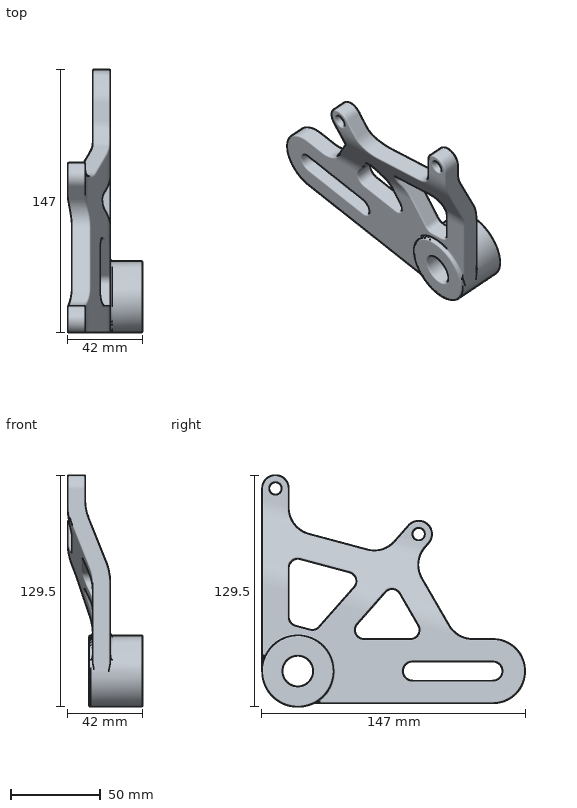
import cadquery as cq
import math


plate_thickness = 10.0
joggle_offset = 14.0
joggle_tilt = 15.0
lean_angle = 22.5
lower_bend_height = 46.4
upper_bend_radius = 25.0
lower_bend_radius = 20.0
edge_radius = 1.0

bushing_radius = 20.0
bushing_start = 12.0
bushing_length = 30.0
bushing_bore = 17.0
bushing_root_fillet = 1.0

arm_radius = 18.0
slot_far_y = 109.0
slot_travel = 45.0
slot_width = 10.5
bend_end_y = 93.0

lug_radius = 7.5
lug_hole = 6.8
upper_lug = (lug_radius - bushing_radius, 102.0)
side_lug = (67.5, 76.5)
web_width = 2 * lug_radius
top_rail_height = 75.7
rear_web_angle = 60.0
rear_web_foot_y = 88.9
bushing_window_gap = 24.2
outer_corner_radius = 15.0
window_corner_radius = 5.0

BROAD_SIDE_NORMAL = 0.5
TOLERANCE = 1e-6
plate_span = 400.0

tilt = math.radians(joggle_tilt)
rail_direction = (-math.cos(tilt), math.sin(tilt))
rail_normal = (math.sin(tilt), math.cos(tilt))
lug_distance = math.hypot(*side_lug)
strut_direction = (side_lug[0] / lug_distance, side_lug[1] / lug_distance)
strut_normal = (-strut_direction[1], strut_direction[0])
rear_angle = math.radians(rear_web_angle)
rear_direction = (-math.cos(rear_angle), math.sin(rear_angle))
rear_inward = (-math.sin(rear_angle), -math.cos(rear_angle))


def shift(point, direction, distance):
    """Move a (y, z) point along a direction."""
    return (point[0] + direction[0] * distance, point[1] + direction[1] * distance)


def crossing(line_a, line_b):
    """Intersection of two lines, each given as (point, direction)."""
    (ay, az), (aj, ak) = line_a
    (by, bz), (bj, bk) = line_b
    along = ((by - ay) * bk - (bz - az) * bj) / (aj * bk - ak * bj)
    return shift((ay, az), (aj, ak), along)


def unit(start, end):
    """Unit vector from one point to another."""
    length = math.dist(start, end)
    return ((end[0] - start[0]) / length, (end[1] - start[1]) / length)


def rounded_outline(plane, corners):
    """Closed wire through (point, radius) corners, each rounded by its own radius."""
    arcs = []
    for index, (corner, radius) in enumerate(corners):
        back = unit(corner, corners[index - 1][0])
        ahead = unit(corner, corners[(index + 1) % len(corners)][0])
        half_angle = math.acos(back[0] * ahead[0] + back[1] * ahead[1]) / 2
        setback = radius / math.tan(half_angle)
        bisector = unit((0, 0), shift(back, ahead, 1))
        middle = shift(corner, bisector, radius / math.sin(half_angle) - radius)
        arcs.append((shift(corner, back, setback), middle, shift(corner, ahead, setback), radius))
    wire = cq.Workplane(plane).moveTo(*arcs[-1][2])
    pen = arcs[-1][2]
    for start, middle, end, radius in arcs:
        if math.dist(pen, start) > TOLERANCE:
            wire = wire.lineTo(*start)
        if radius > 0:
            wire = wire.threePointArc(middle, end)
        pen = end
    return wire.close()


def through_x(corners):
    """Prism along X with the given rounded outline in the YZ plane."""
    return rounded_outline("YZ", corners).extrude(plate_span / 2, both=True)


def bent_sheet():
    """Sheet with both bends, wide enough to be trimmed to the plate outline."""
    lean = math.radians(lean_angle)
    upper_bend_height = lower_bend_height + joggle_offset / math.tan(lean)
    corner_shift = plate_thickness * math.tan(lean / 2)
    upper_outer = upper_bend_radius + plate_thickness
    lower_outer = lower_bend_radius + plate_thickness
    lower_back = joggle_offset + plate_thickness
    section_plane = cq.Plane(
        origin=(0, 0, 0),
        xDir=(1, 0, 0),
        normal=(0, rail_direction[0], rail_direction[1]),
    )
    section = [
        ((joggle_offset, -plate_span / 2), 0),
        ((joggle_offset, lower_bend_height), lower_bend_radius),
        ((0, upper_bend_height), upper_outer),
        ((0, plate_span / 2), 0),
        ((plate_thickness, plate_span / 2), 0),
        ((plate_thickness, upper_bend_height + corner_shift), upper_bend_radius),
        ((lower_back, lower_bend_height + corner_shift), lower_outer),
        ((lower_back, -plate_span / 2), 0),
    ]
    bent = rounded_outline(section_plane, section).extrude(plate_span / 2, both=True)
    flat_corner = cq.Vector(joggle_offset, bend_end_y, -plate_span / 2)
    flat = cq.Solid.makeBox(plate_thickness, plate_span, plate_span, flat_corner)
    beyond_bend = cq.Solid.makeBox(
        plate_span, plate_span, plate_span, cq.Vector(-plate_span / 2, bend_end_y, -plate_span / 2)
    )
    return bent.cut(cq.Workplane(beyond_bend)).union(cq.Workplane(flat))


rail_top = (shift((0, 0), rail_normal, top_rail_height), rail_direction)
rail_underside = (shift(rail_top[0], rail_normal, -web_width), rail_direction)
window_floor = (shift((0, 0), rail_normal, bushing_window_gap), rail_direction)
strut_front = (shift(side_lug, strut_normal, lug_radius), strut_direction)
strut_rear = (shift(side_lug, strut_normal, -lug_radius), strut_direction)
rear_outer = ((rear_web_foot_y, arm_radius), rear_direction)
rear_inner = (shift(rear_outer[0], rear_inward, web_width), rear_direction)
arm_top = ((0, arm_radius), (1, 0))
column_inner = ((upper_lug[0] + lug_radius, 0), (0, 1))


def plate_blank():
    """Solid prism of the outer outline."""
    front_y = -bushing_radius
    arm_end_y = slot_far_y + arm_radius
    lug_top_z = upper_lug[1] + lug_radius
    corners = [
        ((front_y, 0), 0),
        ((front_y, lug_top_z), lug_radius),
        ((column_inner[0][0], lug_top_z), lug_radius),
        (crossing(column_inner, rail_top), outer_corner_radius),
        (crossing(strut_front, rail_top), outer_corner_radius),
        (shift(strut_front[0], strut_direction, lug_radius), lug_radius),
        (shift(strut_rear[0], strut_direction, lug_radius), lug_radius),
        (crossing(strut_rear, rear_outer), outer_corner_radius),
        (rear_outer[0], outer_corner_radius),
        ((arm_end_y, arm_radius), arm_radius),
        ((arm_end_y, -arm_radius), arm_radius),
        ((0, -arm_radius), 0),
    ]
    return through_x(corners)


def window(lines):
    """Rounded window bounded by a closed ring of lines."""
    corners = []
    for index, line in enumerate(lines):
        corners.append((crossing(lines[index - 1], line), window_corner_radius))
    return through_x(corners)


def adjuster_slot():
    """Slot with round ends along the arm."""
    near_end = slot_far_y - slot_travel - slot_width / 2
    far_end = slot_far_y + slot_width / 2
    half = slot_width / 2
    ends = [(near_end, -half), (far_end, -half), (far_end, half), (near_end, half)]
    return through_x([(end, half) for end in ends])


def lug_holes():
    """Mounting holes through both lugs."""
    drill = cq.Workplane("YZ").pushPoints([upper_lug, side_lug])
    return drill.circle(lug_hole / 2).extrude(plate_span / 2, both=True)


def rim_edges(body):
    """Edges where the two broad sides of the sheet meet its narrow walls."""
    broad_edges = []
    for face in body.faces().vals():
        if abs(face.normalAt().x) > BROAD_SIDE_NORMAL:
            broad_edges.extend(face.Edges())
    return [
        edge
        for edge in broad_edges
        if sum(edge.isSame(other) for other in broad_edges) == 1
    ]


def plate():
    """Bent plate with its windows, slot and holes, and all rims rounded."""
    body = bent_sheet().intersect(plate_blank())
    body = body.cut(window([arm_top, rear_inner, strut_rear]))
    body = body.cut(window([rail_underside, strut_front, window_floor, column_inner]))
    body = body.cut(adjuster_slot()).cut(lug_holes())
    return body.newObject(rim_edges(body)).fillet(edge_radius)


def bushing():
    """Solid bushing body with rounded end rims."""
    start = cq.Workplane("YZ", origin=(bushing_start, 0, 0))
    body = start.circle(bushing_radius).extrude(bushing_length)
    return body.faces("<X or >X").edges().fillet(edge_radius)


def drill_bushing(body):
    """Bore the bushing and round both mouths."""
    drill = cq.Workplane("YZ").circle(bushing_bore / 2).extrude(plate_span / 2)
    bored = body.cut(drill)
    mouths = []
    for edge in bored.edges("%CIRCLE").vals():
        if abs(edge.radius() - bushing_bore / 2) < TOLERANCE:
            mouths.append(edge)
    return bored.newObject(mouths).fillet(edge_radius)


def root_flare():
    """Concave fillets between the bushing and the flat faces of the plate, inside its rounded edges."""
    outer_radius = bushing_radius + bushing_root_fillet
    sag = bushing_root_fillet * (1 - math.sqrt(0.5))
    front_face = joggle_offset
    back_face = joggle_offset + plate_thickness
    flare = cq.Workplane("XY")
    for face_x, outward in ((front_face, -1), (back_face, 1)):
        fillet_profile = (
            cq.Workplane("XY")
            .moveTo(face_x, 0)
            .lineTo(face_x, outer_radius)
            .threePointArc(
                (face_x + outward * sag, bushing_radius + sag),
                (face_x + outward * bushing_root_fillet, bushing_radius),
            )
            .lineTo(face_x + outward * bushing_root_fillet, 0)
            .close()
        )
        flare = flare.add(fillet_profile.revolve(360, (0, 0, 0), (1, 0, 0)))
    front_y = edge_radius - bushing_radius
    bottom_z = edge_radius - arm_radius
    reach = 2 * bushing_radius
    corners = [
        (front_y, 0),
        (front_y, reach),
        (reach, reach),
        (reach, bottom_z),
        (0, bottom_z),
        (0, 0),
    ]
    return through_x([(corner, 0) for corner in corners]).intersect(flare.combine())


bracket = plate().union(bushing()).union(root_flare())
result = drill_bushing(bracket)